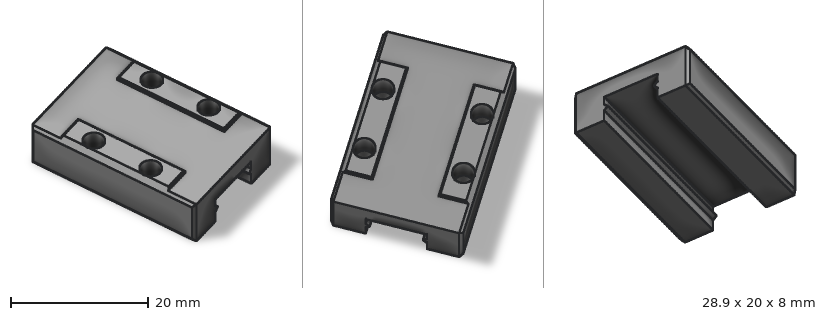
import cadquery as cq

length = 28.9
width = 20.0
height = 8.0
side_chamfer = 0.5

pad_rise = 0.4
pad_inset = 5.0
pad_width = 5.0
pad_edge_chamfer = 0.2
body_height = height - pad_rise
pad_length = length - 2 * pad_inset
pad_side_chamfer = side_chamfer + pad_rise

channel_width = 9.25
channel_depth = 4.57
ridge_center_z = 2.55
ridge_projection = 0.6

hole_diameter = 3.3
hole_spacing_x = 10.0
hole_spacing_y = 15.0
hole_depth = 4.05
hole_cone_depth = 0.95


def make_body():
    """Block with the borders of its two long side faces chamfered."""
    block = cq.Workplane("XY").box(length, width, body_height, centered=(True, True, False))
    return block.faces("<Y or >Y").edges().chamfer(side_chamfer)


def make_pad():
    """Pad on the -Y side whose outer slope continues the slope of the body."""
    outer_y = -width / 2
    inner_y = outer_y + pad_width
    base_z = body_height - side_chamfer
    profile = [
        (outer_y, base_z),
        (outer_y + pad_side_chamfer, height),
        (inner_y - pad_edge_chamfer, height),
        (inner_y, height - pad_edge_chamfer),
        (inner_y, base_z),
    ]
    pad = cq.Workplane("YZ").polyline(profile).close().extrude(pad_length / 2, both=True)
    return pad.faces(">Z").edges("<X or >X").chamfer(pad_edge_chamfer)


def make_channel():
    """Cutter for the rail channel, leaving the guide ridges standing."""
    wall_y = channel_width / 2
    tip_y = wall_y - ridge_projection
    ridge_bottom = ridge_center_z - ridge_projection
    ridge_top = ridge_center_z + ridge_projection
    half_profile = [
        (0, 0),
        (wall_y, 0),
        (wall_y, ridge_bottom),
        (tip_y, ridge_center_z),
        (wall_y, ridge_top),
        (wall_y, channel_depth),
        (0, channel_depth),
    ]
    half = cq.Workplane("YZ").polyline(half_profile).close().extrude(length / 2, both=True)
    return half.union(half.mirror("XZ"))


def make_hole():
    """Cutter for one blind hole, its axis on Z and its mouth at the pad top."""
    profile = [
        (0, height),
        (hole_diameter / 2, height),
        (hole_diameter / 2, height - hole_depth),
        (0, height - hole_depth - hole_cone_depth),
    ]
    return cq.Workplane("XZ").polyline(profile).close().revolve(360, (0, 0), (0, 1))


pad = make_pad()
result = make_body().union(pad).union(pad.mirror("XZ")).cut(make_channel())
hole = make_hole()
for x_side in (-1, 1):
    for y_side in (-1, 1):
        hole_center = (x_side * hole_spacing_x / 2, y_side * hole_spacing_y / 2, 0)
        result = result.cut(hole.translate(hole_center))